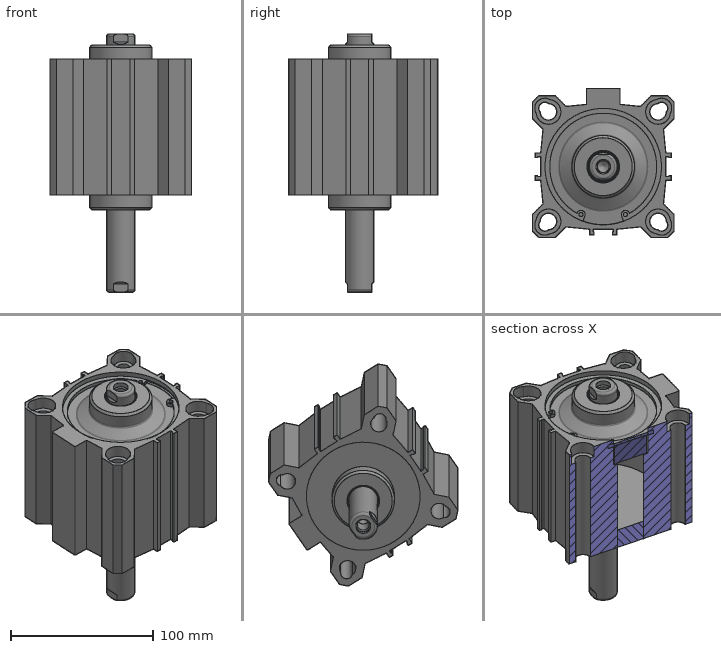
import cadquery as cq
import math


body_width = 100.0
body_height = 96.0
half_width = body_width / 2
corner_chamfer = 4.5
lug_length = 16.2
waist_depth = 7.5
face_depth = 5.8
slope_start = half_width - lug_length - waist_depth
root_overlap = 1.8

rail_outer = 9.6
rail_width = 3.3
rail_lip = 0.5
rail_lip_height = 1.6
rail_tip = 48.0

block_width = 23.7
block_tip = 105.0 - half_width
block_edge_radius = 0.5

main_bore_place = 38.5
main_bore_diameter = 11.5
main_counterbore_diameter = 17.5
outer_bore_place = 41.1
outer_bore_diameter = 8.4
outer_counterbore_diameter = 14.2
mount_counterbore_depth = 9.0

bore_diameter = 80.0
seat_diameter = 82.0
seat_depth = 21.8

ring_depth = 3.6
ring_thickness = 2.5
ring_outer_diameter = 85.5
ring_inner_diameter = 75.3
ear_x = 15.7
ear_y = -33.7
ear_diameter = 5.8
ear_hole_diameter = 3.0
ring_bottom = body_height - ring_depth - ring_thickness

cover_diameter = 81.7
cover_bottom = body_height - seat_depth
boss_diameter = 44.0
top_boss_height = 9.8
bottom_boss_height = 10.4
boss_chamfer = 1.6
cone_diameter = 62.2
cone_top = body_height - 1.3
cone_fillet = 1.0
edge_margin = 0.2
rod_clearance_diameter = 20.5
lip_diameter = 21.8
lip_depth = 1.0
lip_chamfer = 0.5
bottom_cover_thickness = ring_bottom - cover_bottom

rod_diameter = 20.0
rod_length = 182.0
rod_top = body_height + 17.7
rod_edge_radius = 2.0
flat_distance = 17.1
flat_length = 5.8
socket_diameter = 10.2
socket_depth = 3.5
drill_diameter = 8.4
drill_depth = 18.2
drill_point_angle = 118.0


def cylinder(diameter, bottom, top):
    return cq.Workplane("XY").workplane(offset=bottom).circle(diameter / 2).extrude(top - bottom)


def circle_at(diameter, height):
    """Selects the circular edge of this diameter around the rod axis at this height."""
    reach = diameter / 2 + edge_margin
    return cq.selectors.BoxSelector(
        (-reach, -reach, height - edge_margin), (reach, reach, height + edge_margin), boundingbox=True
    )


def corner_places(place):
    return [(sx * place, sy * place) for sx in (-1, 1) for sy in (-1, 1)]


def make_profile():
    """Square with corner lugs and slightly crowned faces between them."""
    waist = half_width - waist_depth
    face = half_width - face_depth
    half_face = [
        (rail_outer, face),
        (slope_start, waist),
        (half_width - lug_length, half_width),
        (half_width - corner_chamfer, half_width),
    ]
    quadrant = half_face + [(y, x) for x, y in reversed(half_face)]
    points = []
    for turn in range(4):
        for x, y in quadrant:
            for _ in range(turn):
                x, y = y, -x
            points.append((x, y))
    return cq.Workplane("XY").polyline(points).close().extrude(body_height)


def make_rail():
    """Sensor rail on the +Y face, right of its middle, with a lip along the inner edge."""
    inner = rail_outer - rail_width
    root = half_width - face_depth - root_overlap
    return (
        cq.Workplane("XY")
        .moveTo(rail_outer, root)
        .lineTo(rail_outer, rail_tip)
        .lineTo(inner, rail_tip)
        .lineTo(inner, rail_tip - rail_lip_height)
        .lineTo(inner + rail_lip, rail_tip - rail_lip_height - rail_lip)
        .lineTo(inner + rail_lip, root)
        .close()
        .extrude(body_height)
    )


def make_port_block():
    root = half_width - face_depth - root_overlap
    return (
        cq.Workplane("XY")
        .box(block_width, block_tip - root, body_height, centered=(True, False, False))
        .edges("|Z and >Y")
        .fillet(block_edge_radius)
        .translate((0, root, 0))
    )


def drill_corners(body, place, diameter, depth):
    """Bores one hole into the top face at each corner, on the diagonals."""
    bores = (
        cq.Workplane("XY")
        .workplane(offset=body_height - depth)
        .pushPoints(corner_places(place))
        .circle(diameter / 2)
        .extrude(depth)
    )
    return body.cut(bores)


def make_housing():
    body = make_profile().union(make_port_block())
    rail = make_rail()
    for angle in (90, 180, 270):
        for one_rail in (rail, rail.mirror("YZ")):
            body = body.union(one_rail.rotate((0, 0, 0), (0, 0, 1), angle))
    body = drill_corners(body, main_bore_place, main_bore_diameter, body_height)
    body = drill_corners(body, outer_bore_place, outer_bore_diameter, body_height)
    body = drill_corners(body, main_bore_place, main_counterbore_diameter, mount_counterbore_depth)
    body = drill_corners(body, outer_bore_place, outer_counterbore_diameter, mount_counterbore_depth)
    body = body.cut(cylinder(bore_diameter, 0, body_height))
    body = body.cut(cylinder(seat_diameter, cover_bottom, body_height))
    return body.cut(cylinder(ring_outer_diameter, ring_bottom, ring_bottom + ring_thickness))


def make_retaining_ring():
    """Open ring whose two ends, on the -Y side, carry ears with plier holes."""
    ring_top = ring_bottom + ring_thickness
    ring = cylinder(ring_outer_diameter, ring_bottom, ring_top)
    ring = ring.cut(cylinder(ring_inner_diameter, ring_bottom, ring_top))
    ear_angle = math.atan2(ear_x, -ear_y)
    gap_angle = ear_angle - math.asin(ear_diameter / 2 / math.hypot(ear_x, ear_y))
    gap_y = -ring_outer_diameter
    gap_x = -gap_y * math.tan(gap_angle)
    plane = cq.Workplane("XY").workplane(offset=ring_bottom)
    gap = plane.polyline([(0, 0), (gap_x, gap_y), (-gap_x, gap_y)]).close().extrude(ring_thickness)
    ears = plane.pushPoints([(-ear_x, ear_y), (ear_x, ear_y)])
    ring = ring.cut(gap).union(ears.circle(ear_diameter / 2).extrude(ring_thickness))
    return ring.cut(ears.circle(ear_hole_diameter / 2).extrude(ring_thickness))


def make_rod_mouth(end):
    """Wider, chamfered mouth of a rod bore that opens upward at z = end."""
    radius = lip_diameter / 2
    profile = [
        (0, end),
        (radius + lip_chamfer, end),
        (radius, end - lip_chamfer),
        (radius, end - lip_depth),
        (0, end - lip_depth),
    ]
    return cq.Workplane("XZ").polyline(profile).close().revolve(360, (0, 0), (0, 1))


def make_top_cover():
    boss_radius = boss_diameter / 2
    boss_top = body_height + top_boss_height
    profile = [
        (0, cover_bottom),
        (cover_diameter / 2, cover_bottom),
        (cover_diameter / 2, ring_bottom),
        (cone_diameter / 2, ring_bottom),
        (boss_radius, cone_top),
        (boss_radius, boss_top - boss_chamfer),
        (boss_radius - boss_chamfer, boss_top),
        (0, boss_top),
    ]
    cover = cq.Workplane("XZ").polyline(profile).close().revolve(360, (0, 0), (0, 1))
    for diameter, height in ((boss_diameter, cone_top), (cone_diameter, ring_bottom)):
        cover = cover.edges(circle_at(diameter, height)).fillet(cone_fillet)
    cover = cover.cut(cylinder(rod_clearance_diameter, cover_bottom, boss_top))
    return cover.cut(make_rod_mouth(boss_top))


def make_bottom_cover():
    boss = cylinder(boss_diameter, -bottom_boss_height, 0).faces("<Z").chamfer(boss_chamfer)
    cover = cylinder(bore_diameter, 0, bottom_cover_thickness).union(boss)
    cover = cover.cut(cylinder(rod_clearance_diameter, -bottom_boss_height, bottom_cover_thickness))
    return cover.cut(make_rod_mouth(bottom_boss_height).mirror("XY"))


def make_flat_cutter():
    """Material removed for the wrench flat on the -Y side of the rod's top end, with a 45 degree run-out."""
    run_out = (rod_diameter - flat_distance) / 2
    flat_y = -flat_distance / 2
    flat_bottom = rod_top - flat_length
    profile = [
        (flat_y, rod_top),
        (flat_y, flat_bottom),
        (flat_y - run_out, flat_bottom - run_out),
        (flat_y - run_out, rod_top),
    ]
    return cq.Workplane("YZ").polyline(profile).close().extrude(rod_diameter / 2, both=True)


def make_end_hole():
    """Drilled hole in the rod's top end, with a wider mouth and a drill point."""
    mouth_radius = socket_diameter / 2
    drill_radius = drill_diameter / 2
    point_length = drill_radius / math.tan(math.radians(drill_point_angle / 2))
    profile = [
        (0, rod_top),
        (mouth_radius, rod_top),
        (mouth_radius, rod_top - socket_depth),
        (drill_radius, rod_top - socket_depth - (mouth_radius - drill_radius)),
        (drill_radius, rod_top - drill_depth),
        (0, rod_top - drill_depth - point_length),
    ]
    return cq.Workplane("XZ").polyline(profile).close().revolve(360, (0, 0), (0, 1))


def make_rod():
    """Both ends of the rod have the same flats and the same hole."""
    rod = cylinder(rod_diameter, rod_top - rod_length, rod_top)
    rod = rod.faces("<Z or >Z").edges().fillet(rod_edge_radius)
    flat = make_flat_cutter()
    end_cut = flat.union(flat.mirror("XZ")).union(make_end_hole())
    other_end_cut = end_cut.mirror("XY", (0, 0, rod_top - rod_length / 2))
    return rod.cut(end_cut).cut(other_end_cut)


housing = make_housing()
retaining_ring = make_retaining_ring()
top_cover = make_top_cover()
bottom_cover = make_bottom_cover()
rod = make_rod()

result = cq.Compound.makeCompound(
    [housing.val(), retaining_ring.val(), top_cover.val(), bottom_cover.val(), rod.val()]
)